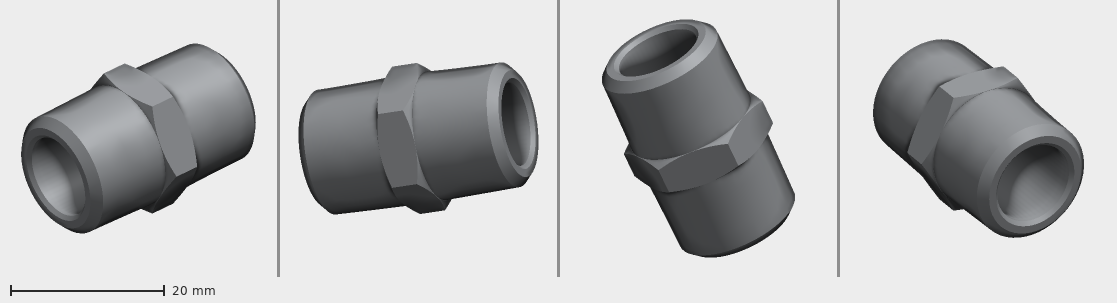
import cadquery as cq
import math

length = 28.0
across_flats = 17.0
hex_width = 5.0
hex_sides = 6
hex_chamfer_angle = 30.0
cone_overrun = 0.28

root_radius = 8.45
tip_radius = 8.2
end_chamfer = 1.18

bore_radius = 5.5
bore_chamfer = 0.5

half_length = length / 2
half_hex = hex_width / 2
flat_radius = across_flats / 2
corner_radius = flat_radius / math.cos(math.pi / hex_sides)


def revolve_about_y(points):
    """Revolve a closed (radius, y) outline about the Y axis."""
    return cq.Workplane("XY").polyline(points).close().revolve(360, (0, 0, 0), (0, 1, 0))


def hexagon():
    """Hexagonal collar with corners on +X and -X and conically chamfered corners."""
    prism = (
        cq.Workplane("XZ")
        .polygon(hex_sides, 2 * corner_radius)
        .extrude(half_hex, both=True)
    )
    cone_radius = corner_radius + cone_overrun
    drop = (cone_radius - flat_radius) * math.tan(math.radians(hex_chamfer_angle))
    envelope = revolve_about_y([
        (0, -half_hex),
        (flat_radius, -half_hex),
        (cone_radius, -half_hex + drop),
        (cone_radius, half_hex - drop),
        (flat_radius, half_hex),
        (0, half_hex),
    ])
    return prism.intersect(envelope)


def spigot():
    """Tapered end on the +Y side, from the mid plane to its chamfered tip."""
    return revolve_about_y([
        (0, 0),
        (root_radius, 0),
        (root_radius, half_hex),
        (tip_radius, half_length - end_chamfer),
        (tip_radius - end_chamfer, half_length),
        (0, half_length),
    ])


def bore():
    """Through bore with a 45 degree chamfer at both mouths."""
    mouth_radius = bore_radius + bore_chamfer
    chamfer_start = half_length - bore_chamfer
    return revolve_about_y([
        (0, -half_length),
        (mouth_radius, -half_length),
        (bore_radius, -chamfer_start),
        (bore_radius, chamfer_start),
        (mouth_radius, half_length),
        (0, half_length),
    ])


front_spigot = spigot().mirror("XZ")
result = hexagon().union(spigot()).union(front_spigot).cut(bore())